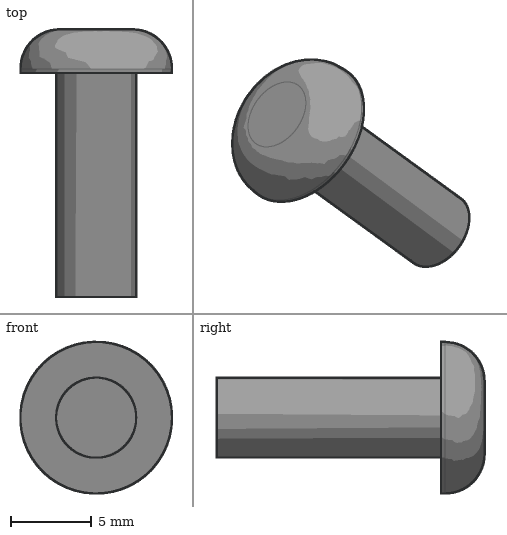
import cadquery as cq

total_length = 16.75
shank_diameter = 5.0
head_diameter = 9.5
head_height = 2.75
rim_height = 0.25

shank_length = total_length - head_height
crown_radius = head_height - rim_height


def disc_along_y(diameter, start_y, length):
    """Cylinder on the Y axis, running from start_y towards +Y."""
    plane = cq.Plane(origin=(0, start_y, 0), xDir=(1, 0, 0), normal=(0, 1, 0))
    return cq.Workplane(plane).circle(diameter / 2).extrude(length)


head = disc_along_y(head_diameter, 0, head_height).faces(">Y").edges().fillet(crown_radius)

shank = disc_along_y(shank_diameter, -shank_length, shank_length)

result = head.union(shank)